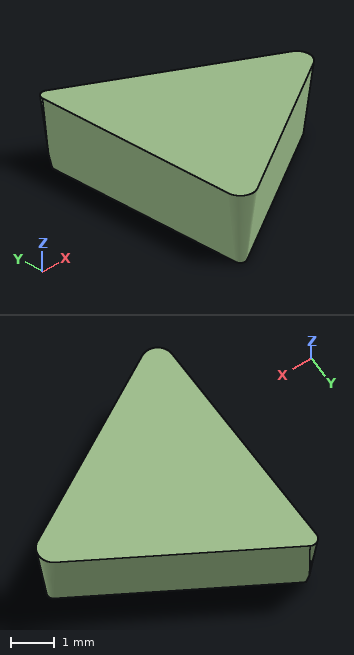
import cadquery as cq
import math

length = 6.44
thickness = 1.98
clearance_angle = 7.0
nose_radius = 0.4
small_radius = 0.2

corner_loss = math.sqrt(3) - 1
side = length + corner_loss * (nose_radius + small_radius)
circumradius = side / math.sqrt(3)
slope = math.tan(math.radians(clearance_angle))


def corner_point(angle, distance):
    """Point on the line from the insert centre towards a corner."""
    direction = math.radians(angle)
    return cq.Vector(distance * math.cos(direction), distance * math.sin(direction), 0)


def sharp_insert():
    """Tapered triangle with the top face at Z = 0 and sharp corners."""
    corners = [corner_point(angle, circumradius).toTuple()[:2] for angle in (0, 120, 240)]
    return cq.Workplane("XY").polyline(corners).close().extrude(-thickness, taper=clearance_angle)


def corner_waste(angle, radius):
    """Material outside a conical corner that narrows with the sloping sides."""
    depth = min(thickness, radius / slope)
    bottom_radius = max(0, radius - depth * slope)
    axis_point = corner_point(angle, circumradius - 2 * radius)
    vertex = corner_point(angle, circumradius)
    tangent_points = [axis_point + corner_point(angle + turn, radius) for turn in (-60, 60)]
    kite = [axis_point, tangent_points[0], vertex, tangent_points[1]]
    outline = [point.toTuple()[:2] for point in kite]
    block = cq.Workplane("XY").polyline(outline).close().extrude(-depth)
    cone = cq.Solid.makeCone(radius, bottom_radius, depth, axis_point, cq.Vector(0, 0, -1))
    return block.cut(cq.Workplane(cone))


result = sharp_insert()
for corner_angle, corner_radius in ((0, nose_radius), (120, small_radius), (240, nose_radius)):
    result = result.cut(corner_waste(corner_angle, corner_radius))